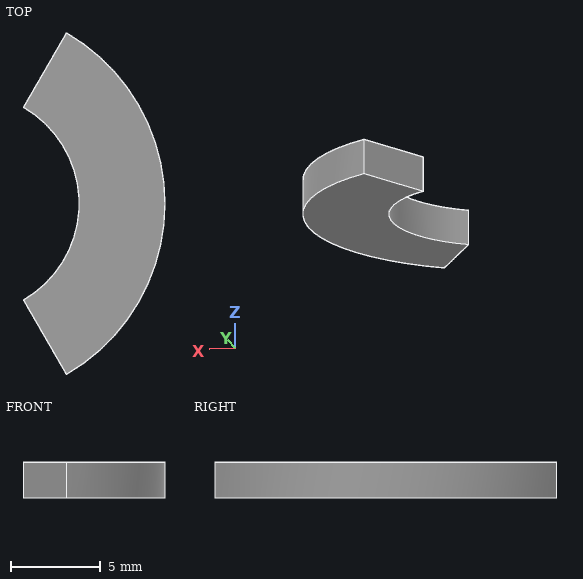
import cadquery as cq
import math

outer_radius = 11.0
inner_radius = 6.2
sweep_angle = 120.0
thickness = 2.0

half_sweep = math.radians(sweep_angle / 2)


def ring_point(radius, angle):
    """Point at the given radius and angle (radians) from the +X axis."""
    return (radius * math.cos(angle), radius * math.sin(angle))


result = (
    cq.Workplane("XY")
    .moveTo(*ring_point(inner_radius, -half_sweep))
    .lineTo(*ring_point(outer_radius, -half_sweep))
    .threePointArc(ring_point(outer_radius, 0), ring_point(outer_radius, half_sweep))
    .lineTo(*ring_point(inner_radius, half_sweep))
    .threePointArc(ring_point(inner_radius, 0), ring_point(inner_radius, -half_sweep))
    .close()
    .extrude(thickness)
)